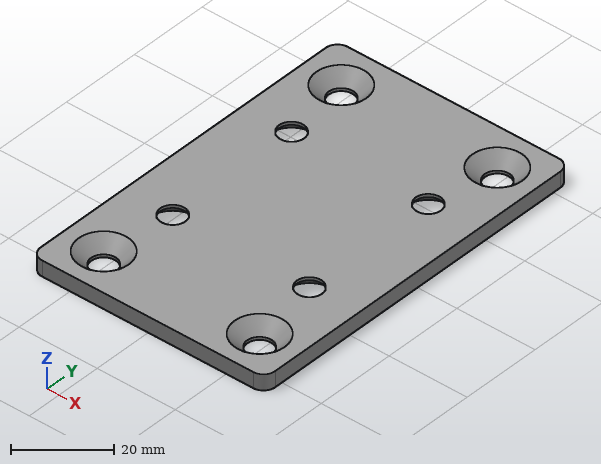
import cadquery as cq

length = 90.0
width = 60.0
thickness = 4.0
corner_radius = 3.0

hole_diameter = 6.4
countersink_diameter = 2 * hole_diameter
countersink_angle = 90.0
outer_spacing_x = 40.0
outer_spacing_y = 70.0
inner_spacing = 35.0


def cut_countersunk_holes(body, face, spacing_x, spacing_y):
    """Cut a centred 2 x 2 pattern of through holes, countersunk from the given face."""
    return (
        body.faces(face)
        .workplane(origin=(0, 0, 0))
        .rarray(spacing_x, spacing_y, 2, 2)
        .cskHole(hole_diameter, countersink_diameter, countersink_angle)
    )


plate = (
    cq.Workplane("XY")
    .box(width, length, thickness)
    .edges("|Z")
    .fillet(corner_radius)
)

plate = cut_countersunk_holes(plate, ">Z", outer_spacing_x, outer_spacing_y)
result = cut_countersunk_holes(plate, "<Z", inner_spacing, inner_spacing)